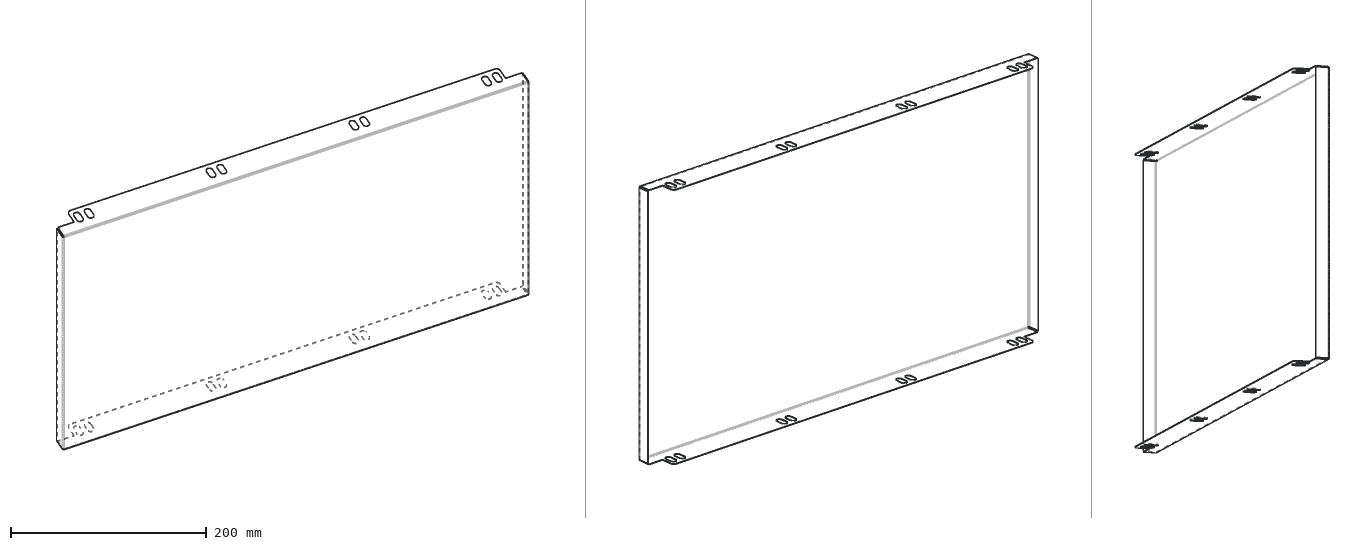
import cadquery as cq

length = 529.0
height = 306.0
sheet = 1.0
bend_radius = 1.8
inner_bend_radius = bend_radius - sheet

flange_flat = 13.0
rim_depth = flange_flat + bend_radius
corner_gap = 1.7

tab_projection = 17.0
tab_end_setback = 20.0
tab_corner_radius = 4.0
tab_length = length - 2 * tab_end_setback

depth = tab_projection + rim_depth

slot_length = 14.5
slot_width = 7.0
slot_pitch = 12.0
slot_edge_distance = 12.0
inner_pair_y = 81.0
outer_pair_y = 231.0


def rounded_block(x_start, x_end, y_size, z_size, radius):
    """Block centred on the X axis with its +X face edges rounded."""
    block = cq.Workplane("XY").box(x_end - x_start, y_size, z_size)
    block = block.translate(((x_start + x_end) / 2, 0, 0))
    return block.faces(">X").edges().fillet(radius)


def make_tray():
    """Hollow tray open toward -X, with open square corners."""
    outer = rounded_block(tab_projection, depth, length, height, bend_radius)
    cavity = rounded_block(
        tab_projection, depth - sheet, length - 2 * sheet, height - 2 * sheet, inner_bend_radius
    )
    corners = (
        cq.Workplane("YZ")
        .rect(length - corner_gap, height - corner_gap, forConstruction=True)
        .vertices()
        .rect(corner_gap, corner_gap)
        .extrude(depth)
    )
    return outer.cut(cavity).cut(corners)


def make_tab(bottom_z):
    """Tab plate of one sheet thickness, overlapping the flange it extends."""
    tab_reach = depth - bend_radius
    return (
        cq.Workplane("XY", origin=(tab_reach / 2, 0, bottom_z))
        .rect(tab_reach, tab_length)
        .extrude(sheet)
        .edges("|Z and <X")
        .fillet(tab_corner_radius)
    )


def make_slots():
    """All slots, running through both tabs."""
    pair_centres = [-outer_pair_y, -inner_pair_y, inner_pair_y, outer_pair_y]
    slot_centres = [
        (slot_edge_distance, pair_y + side * slot_pitch / 2)
        for pair_y in pair_centres
        for side in (-1, 1)
    ]
    return (
        cq.Workplane("XY", origin=(0, 0, -height / 2))
        .pushPoints(slot_centres)
        .slot2D(slot_length, slot_width)
        .extrude(height)
    )


top_tab = make_tab(height / 2 - sheet)
bottom_tab = make_tab(-height / 2)
result = make_tray().union(top_tab).union(bottom_tab).cut(make_slots())